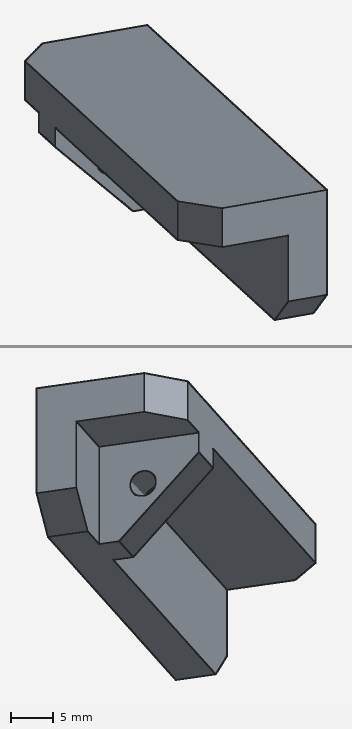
import cadquery as cq

LENGTH = 53.0
LEG = 17.5
THICKNESS = 5.0
CORNER_CHAMFER = 4.0
RIB_OFFSET = 8.0
RIB_THICKNESS = 5.0
RIB_CHAMFER = 10.0
HOLE_DIAMETER = 3.2
HOLE_DISTANCE = 10.5

HOLE_POSITION = LEG - HOLE_DISTANCE


def make_top_plate():
    """Horizontal plate with its two front corners chamfered."""
    plate = cq.Workplane("XY").box(LENGTH, LEG, THICKNESS, centered=False)
    plate = plate.edges("|Z and <Y").chamfer(CORNER_CHAMFER)
    return plate.translate((0, 0, LEG - THICKNESS))


def make_back_plate():
    """Vertical plate with its two bottom corners chamfered."""
    plate = cq.Workplane("XY").box(LENGTH, THICKNESS, LEG, centered=False)
    plate = plate.edges("|Y and <Z").chamfer(CORNER_CHAMFER)
    return plate.translate((0, LEG - THICKNESS, 0))


def make_rib():
    """Gusset between the plates, with a hole through it along X."""
    rib = cq.Workplane("XY").box(RIB_THICKNESS, LEG, LEG, centered=False)
    rib = rib.edges("|X and <Y and <Z").chamfer(RIB_CHAMFER)
    hole = (
        cq.Workplane("YZ")
        .center(HOLE_POSITION, HOLE_POSITION)
        .circle(HOLE_DIAMETER / 2)
        .extrude(RIB_THICKNESS)
    )
    return rib.cut(hole).translate((RIB_OFFSET, 0, 0))


result = make_top_plate().union(make_back_plate()).union(make_rib()).clean()